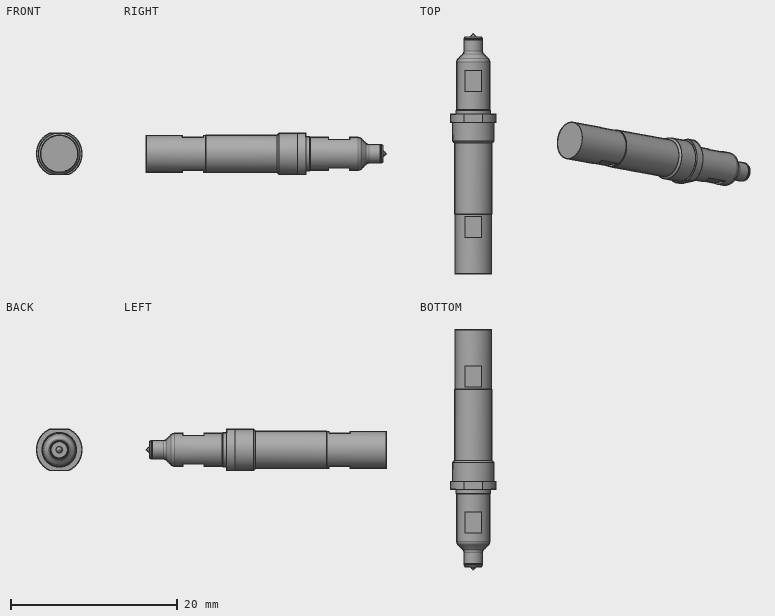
import cadquery as cq
import math

total_length = 28.9

rear_radius = 2.23
body_radius = 2.25
sleeve_diameter = 5.0
sleeve_radius = sleeve_diameter / 2
collar_radius = 2.75
neck_radius = 2.08
barrel_radius = 2.0
nose_radius = 1.13
cap_radius = 1.1

seam_station = 7.15
sleeve_start = 15.98
collar_start = 18.25
collar_thickness = 0.98
neck_end = 19.77
shoulder_end = 26.8
cap_start = 28.2

sleeve_chamfer = sleeve_radius - body_radius
neck_chamfer = neck_radius - barrel_radius
seam_taper_length = 0.1
cap_taper_length = 0.1
cap_bevel_length = 0.23
cap_bevel_depth = 0.12
point_height = 0.38
point_radius = point_height

shoulder_angle = math.radians(45)
shoulder_fillet = 0.5
shoulder_round = 0.6

flat_length = 2.5
rear_flat_start = 4.35
rear_flat_half_height = 2.0
front_flat_start = 21.95
front_flat_half_height = 1.73


def turned_body():
    """Revolve the half profile, with local x as radius and local y along the axis."""
    collar_end = collar_start + collar_thickness
    nose_end = total_length - point_height

    sine = math.sin(shoulder_angle)
    arc_offset = 1 - math.cos(shoulder_angle)
    bend_sine = math.sin(shoulder_angle / 2)
    bend_offset = 1 - math.cos(shoulder_angle / 2)
    cone_front_radius = nose_radius + shoulder_fillet * arc_offset
    cone_front = shoulder_end - shoulder_fillet * sine
    cone_rear_radius = barrel_radius - shoulder_round * arc_offset
    cone_rear = cone_front - (cone_rear_radius - cone_front_radius) / math.tan(shoulder_angle)
    shoulder_start = cone_rear - shoulder_round * sine
    round_middle = (
        barrel_radius - shoulder_round * bend_offset,
        shoulder_start + shoulder_round * bend_sine,
    )
    fillet_middle = (
        nose_radius + shoulder_fillet * bend_offset,
        shoulder_end - shoulder_fillet * bend_sine,
    )

    profile = (
        cq.Workplane("XY")
        .moveTo(0, 0)
        .lineTo(rear_radius, 0)
        .lineTo(rear_radius, seam_station)
        .lineTo(body_radius, seam_station + seam_taper_length)
        .lineTo(body_radius, sleeve_start - sleeve_chamfer)
        .lineTo(sleeve_radius, sleeve_start)
        .lineTo(sleeve_radius, collar_start)
        .lineTo(collar_radius, collar_start)
        .lineTo(collar_radius, collar_end)
        .lineTo(neck_radius, collar_end)
        .lineTo(neck_radius, neck_end - neck_chamfer)
        .lineTo(barrel_radius, neck_end)
        .lineTo(barrel_radius, shoulder_start)
        .threePointArc(round_middle, (cone_rear_radius, cone_rear))
        .lineTo(cone_front_radius, cone_front)
        .threePointArc(fillet_middle, (nose_radius, shoulder_end))
        .lineTo(nose_radius, cap_start - cap_taper_length)
        .lineTo(cap_radius, cap_start)
        .lineTo(cap_radius, nose_end - cap_bevel_length)
        .lineTo(cap_radius - cap_bevel_depth, nose_end)
        .lineTo(point_radius, nose_end)
        .lineTo(0, total_length)
        .close()
    )
    return profile.revolve(360, (0, 0, 0), (0, 1, 0))


def flat_pair(start, length, half_height):
    """Two blocks that cut parallel flats above and below the axis."""
    block = cq.Workplane("XY").box(
        2 * collar_radius, length, collar_radius, centered=(True, False, False)
    )
    upper = block.translate((0, start, half_height))
    return upper.union(upper.mirror("XY"))


part = turned_body()
part = part.cut(flat_pair(collar_start, collar_thickness, sleeve_radius))
part = part.cut(flat_pair(rear_flat_start, flat_length, rear_flat_half_height))
part = part.cut(flat_pair(front_flat_start, flat_length, front_flat_half_height))

result = part.translate((0, -total_length / 2, 0))